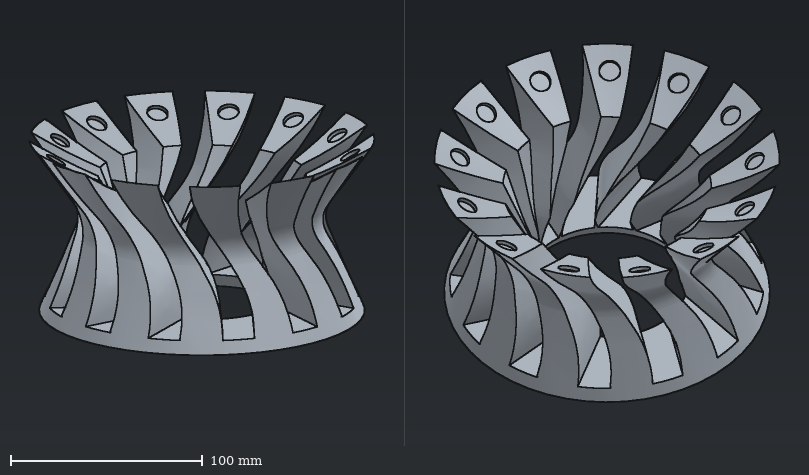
import cadquery as cq
import math

HEIGHT = 92.9
TOP_RADIUS = 90.0
BASE_RADIUS = 85.0
OUTER_CORNER_RADIUS = 62.0
OUTER_CORNER_HEIGHT = 53.0
OUTER_WAIST_FILLET = 19.0

BASE_BORE_RADIUS = 45.0
THROAT_CORNER_RADIUS = 32.5
THROAT_CORNER_HEIGHT = 29.7
THROAT_FILLET = 25.2
TIP_INNER_RADIUS = 54.3
TIP_INNER_HEIGHT = 73.8
TIP_SAG = 0.7

BLADE_COUNT = 13
PITCH_ANGLE = 360 / BLADE_COUNT
BASE_RING_HEIGHT = 7.0
SLOT_WIDTH = 16.5
SLOT_LEAN = 17.1
SLOT_MID_RUN = 0.65
LEFT_MID_HEIGHT = 51.0
LEFT_TOP_RUN = 0.1
RIGHT_MID_HEIGHT = 52.0
RIGHT_TOP_RUN = 0.2
CLEARANCE = 9.0

HOLE_DIAMETER = 11.0
HOLE_FLOOR_DEPTH = 2.7
HOLE_CIRCLE_RADIUS = 77.0
HOLE_START_ANGLE = 92.0


def corner_arc(before, corner, after, radius):
    """Start, middle and end points of an arc tangent to both legs of a corner."""
    leg_a = (cq.Vector(*before) - cq.Vector(*corner)).normalized()
    leg_b = (cq.Vector(*after) - cq.Vector(*corner)).normalized()
    half_angle = leg_a.getAngle(leg_b) / 2
    setback = radius / math.tan(half_angle)
    bulge = radius / math.sin(half_angle) - radius
    apex = cq.Vector(*corner)
    middle = apex + (leg_a + leg_b).normalized() * bulge
    points = (apex + leg_a * setback, middle, apex + leg_b * setback)
    return [(point.x, point.y) for point in points]


def flared_ring():
    base_outer = (BASE_RADIUS, 0)
    top_outer = (TOP_RADIUS, HEIGHT)
    tip_inner = (TIP_INNER_RADIUS, TIP_INNER_HEIGHT)
    base_inner = (BASE_BORE_RADIUS, 0)
    outer_corner = (OUTER_CORNER_RADIUS, OUTER_CORNER_HEIGHT)
    throat_corner = (THROAT_CORNER_RADIUS, THROAT_CORNER_HEIGHT)
    waist = corner_arc(base_outer, outer_corner, top_outer, OUTER_WAIST_FILLET)
    throat = corner_arc(tip_inner, throat_corner, base_inner, THROAT_FILLET)
    return (
        cq.Workplane("XZ")
        .moveTo(*base_outer)
        .lineTo(*waist[0])
        .threePointArc(*waist[1:])
        .lineTo(*top_outer)
        .sagittaArc(tip_inner, TIP_SAG)
        .lineTo(*throat[0])
        .threePointArc(*throat[1:])
        .lineTo(*base_inner)
        .close()
        .revolve(360, (0, 0), (0, 1))
    )


def wall_spline(offset, mid_height, top_run):
    """Points and rising tangents of one S-curved slot wall, from the base ring up."""
    points = [
        (offset - SLOT_LEAN, BASE_RING_HEIGHT),
        (offset, mid_height),
        (offset + SLOT_LEAN, HEIGHT),
    ]
    tangents = [(0, 1), (SLOT_MID_RUN, 1), (top_run, 1)]
    return points, tangents


def slot_cutter():
    """S-curved slot running from the axis out along +Y."""
    half = SLOT_WIDTH / 2
    right, right_rise = wall_spline(half, RIGHT_MID_HEIGHT, RIGHT_TOP_RUN)
    left, left_rise = wall_spline(-half, LEFT_MID_HEIGHT, LEFT_TOP_RUN)
    left.reverse()
    left_fall = [(-x, -z) for x, z in reversed(left_rise)]
    return (
        cq.Workplane("XZ")
        .moveTo(*right[0])
        .spline(right[1:], tangents=right_rise, includeCurrent=True)
        .lineTo(right[-1][0], HEIGHT + CLEARANCE)
        .lineTo(left[0][0], HEIGHT + CLEARANCE)
        .lineTo(*left[0])
        .spline(left[1:], tangents=left_fall, includeCurrent=True)
        .close()
        .extrude(-(TOP_RADIUS + CLEARANCE))
    )


def tip_hole_cutter():
    """Shallow hole square to the sloping tip face, placed above the +X axis."""
    slope = (HEIGHT - TIP_INNER_HEIGHT) / (TOP_RADIUS - TIP_INNER_RADIUS)
    hole_height = HEIGHT - slope * (TOP_RADIUS - HOLE_CIRCLE_RADIUS)
    face = cq.Plane(
        origin=(HOLE_CIRCLE_RADIUS, 0, hole_height),
        xDir=(0, 1, 0),
        normal=(-slope, 0, 1),
    )
    return (
        cq.Workplane(face)
        .workplane(offset=-HOLE_FLOOR_DEPTH)
        .circle(HOLE_DIAMETER / 2)
        .extrude(HOLE_FLOOR_DEPTH + CLEARANCE)
    )


result = flared_ring()
slot = slot_cutter()
hole = tip_hole_cutter()
for index in range(BLADE_COUNT):
    turn = index * PITCH_ANGLE
    result = result.cut(slot.rotate((0, 0, 0), (0, 0, 1), turn))
    result = result.cut(hole.rotate((0, 0, 0), (0, 0, 1), HOLE_START_ANGLE + turn))